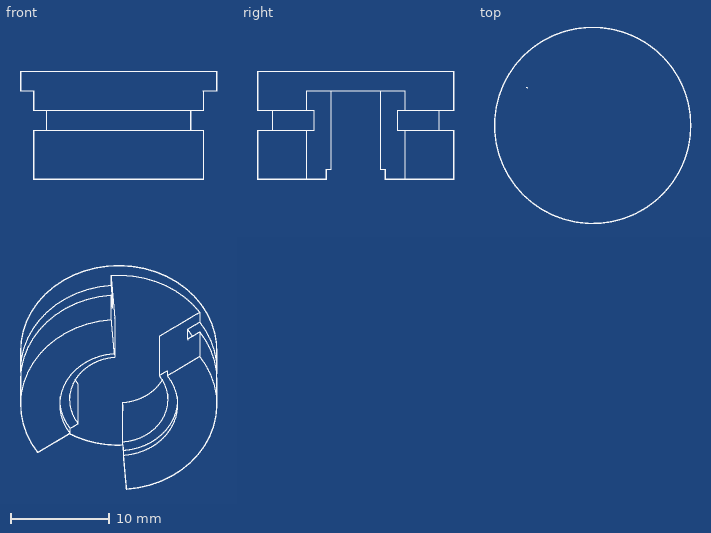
import cadquery as cq
import math

outer_radius = 10.0
total_height = 11.0
cap_thickness = 2.0
skirt_height = total_height - cap_thickness

groove_radius = 8.5
groove_bottom = 5.0
groove_height = 2.0

bore_radius = 5.0
counterbore_radius = 6.0
counterbore_depth = 1.0

opening_half_angle = math.radians(30)
wedge_length = 2 * outer_radius


def cylinder(radius, bottom, height):
    return cq.Workplane("XY").workplane(offset=bottom).circle(radius).extrude(height)


def wedge_opening(side):
    """Triangular cutter from the axis outwards; side is +1 for +X, -1 for -X."""
    end_x = side * wedge_length
    end_y = wedge_length * math.tan(opening_half_angle)
    corners = [(0, 0), (end_x, -end_y), (end_x, end_y)]
    return cq.Workplane("XY").polyline(corners).close().extrude(skirt_height)


body = cylinder(outer_radius, 0, total_height)

groove = cylinder(outer_radius, groove_bottom, groove_height).cut(
    cylinder(groove_radius, groove_bottom, groove_height)
)
body = body.cut(groove)

body = body.cut(cylinder(bore_radius, 0, skirt_height))
body = body.cut(cylinder(counterbore_radius, 0, counterbore_depth))

for side in (-1, 1):
    body = body.cut(wedge_opening(side))

result = body